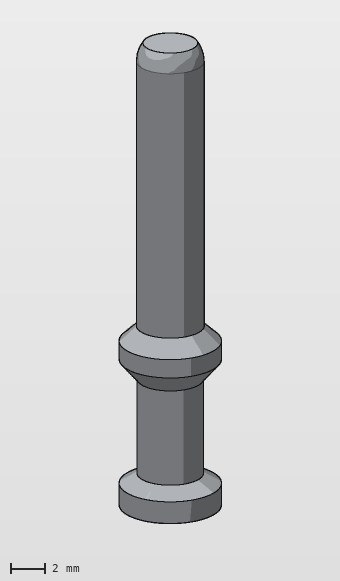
import cadquery as cq

pin_diameter = 3.97
shank_diameter = 3.9
flange_diameter = 5.99
tip_diameter = 3.2

total_length = 29.0
base_flange_height = 1.37
base_cone_height = 0.63
collar_bottom = 9.15
collar_height = 1.15
collar_lower_cone_height = 1.23
collar_upper_cone_height = 0.95
tip_height = 1.15

pin_radius = pin_diameter / 2
shank_radius = shank_diameter / 2
flange_radius = flange_diameter / 2
tip_radius = tip_diameter / 2
base_cone_top = base_flange_height + base_cone_height
collar_top = collar_bottom + collar_height
shank_top = collar_bottom - collar_lower_cone_height
pin_bottom = collar_top + collar_upper_cone_height
tip_start = total_length - tip_height


def turned_body():
    """Revolve the half outline (radius, height) about the Z axis."""
    outline = (
        cq.Workplane("XZ")
        .lineTo(flange_radius, 0)
        .lineTo(flange_radius, base_flange_height)
        .lineTo(shank_radius, base_cone_top)
        .lineTo(shank_radius, shank_top)
        .lineTo(flange_radius, collar_bottom)
        .lineTo(flange_radius, collar_top)
        .lineTo(pin_radius, pin_bottom)
        .lineTo(pin_radius, tip_start)
        .tangentArcPoint((tip_radius, total_length), relative=False)
        .lineTo(0, total_length)
        .close()
    )
    return outline.revolve(360, (0, 0, 0), (0, 1, 0))


result = turned_body()